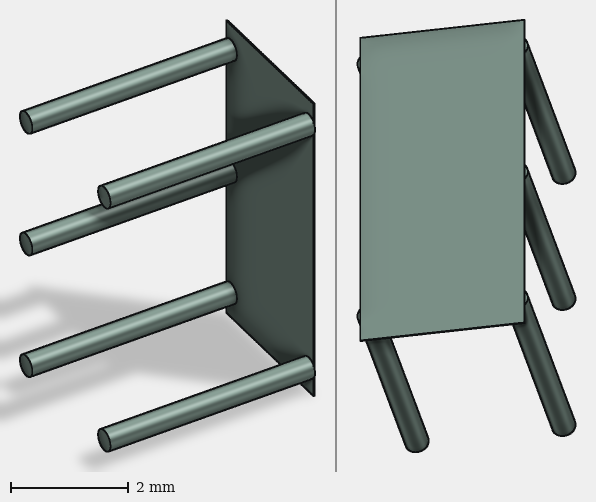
import cadquery as cq

pin_pitch = 2.54
pin_diameter = 0.41
plate_width = 2.84
plate_height = 6.10
plate_thickness = 0.025
overall_depth = 4.09

left_x = -pin_pitch / 2
right_x = pin_pitch / 2
pin_centers = [
    (left_x, -pin_pitch),
    (left_x, 0),
    (left_x, pin_pitch),
    (right_x, -pin_pitch),
    (right_x, pin_pitch),
]


def make_plate():
    """Thin upright plate whose back face lies at the +Y end of the part."""
    return (
        cq.Workplane("XZ", origin=(0, overall_depth, 0))
        .rect(plate_width, plate_height)
        .extrude(plate_thickness)
    )


def make_pins():
    """Round pins running from the front face of the plate to Y = 0."""
    pin_length = overall_depth - plate_thickness
    return (
        cq.Workplane("XZ", origin=(0, pin_length, 0))
        .pushPoints(pin_centers)
        .circle(pin_diameter / 2)
        .extrude(pin_length)
    )


result = make_plate().union(make_pins())